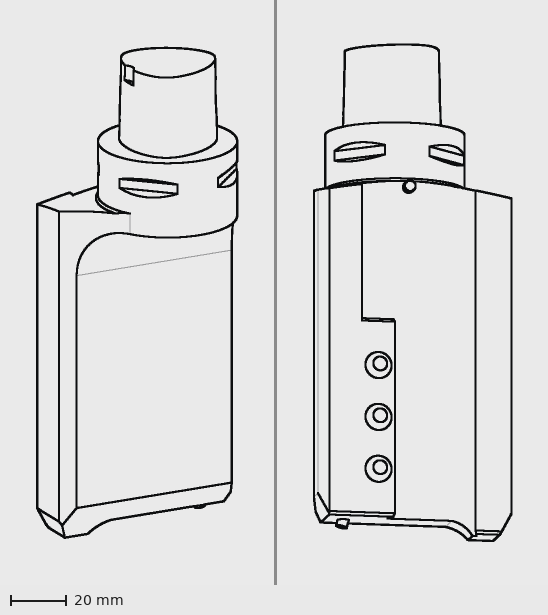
import cadquery as cq
import math

total_height = 180.0

shank_bottom_z = 150.0
shank_base_radius = 17.6
shank_top_radius = 17.0
lobe_height = 1.3
notch_radius = 4.5
notch_center_y = -18.5
notch_height = 5.5

collar_radius = 25.0
collar_bottom_z = 129.6
slot_z = 140.0
slot_floor_distance = 22.5
slot_floor_height = 3.5
slot_mouth_height = 6.7

flare_radius = 25.7
flare_bottom_z = 128.5
shoulder_angle = 15.0
shoulder_reach = 54.0

face_x = -30.8
back_x = -7.2
side_edge_x = -13.7
left_y = 32.2
right_y = -36.7
left_chamfer_x = -21.6
left_face_y = 29.7
ledge_bottom_z = 121.9
back_fillet_radius = 19.8
back_slope_top_z = 14.2
back_slope_end_x = -17.1
foot_step_z = 5.2
foot_curve_start_y = -15.8
foot_curve_end_y = -23.4
foot_curve_mid = (-20.2, 3.5)
foot_bevel = 1.0
right_foot_chamfer_width = 4.1
right_foot_chamfer_height = 7.7
left_foot_chamfer_top_z = 14.4

channel_floor_x = -25.7
channel_left_y = 18.0
channel_left_floor_y = 17.0
channel_right_y = -23.5
channel_right_floor_y = -24.8
clamp_edge_y = 6.0
clamp_floor_edge_y = 7.5
clamp_top_z = 77.2
clamp_bevel = 1.0
screw_y = 11.9
screw_first_z = 22.3
screw_pitch = 18.9
screw_count = 3
screw_radius = 9.5 / 2
screw_dome_radius = 4.1
screw_tip_radius = 2.5
screw_height = 3.2
pin_diameter = 4.0
pin_z = 126.2
pin_tip_x = -29.2
foot_pin_x = -19.8
foot_pin_y = 22.7
foot_pin_projection = 2.5
foot_pin_tilt = 15.0

overlap = 1.8
margin = 72.0


def lobed_point(radius, angle):
    """Point of a three-lobed constant-width curve with one lobe toward +Y."""
    lobe_angle = 3 * (angle - math.pi / 2)
    support = radius + lobe_height * math.cos(lobe_angle)
    slope = -3 * lobe_height * math.sin(lobe_angle)
    return (
        support * math.cos(angle) - slope * math.sin(angle),
        support * math.sin(angle) + slope * math.cos(angle),
    )


def lobed_wire(radius, z):
    point_count = 24
    points = [
        cq.Vector(*lobed_point(radius, 2 * math.pi * i / point_count), z)
        for i in range(point_count)
    ]
    return cq.Wire.assembleEdges([cq.Edge.makeSpline(points, periodic=True)])


def make_shank():
    base = lobed_wire(shank_base_radius, shank_bottom_z)
    top = lobed_wire(shank_top_radius, total_height)
    shank = cq.Workplane(cq.Solid.makeLoft([base, top]))
    notch = (
        cq.Workplane("XY", origin=(0, notch_center_y, total_height - notch_height))
        .circle(notch_radius)
        .extrude(notch_height + overlap)
    )
    return shank.cut(notch)


def make_collar():
    collar = (
        cq.Workplane("XY", origin=(0, 0, collar_bottom_z))
        .circle(collar_radius)
        .extrude(shank_bottom_z - collar_bottom_z)
    )
    slot = (
        cq.Workplane("XZ")
        .moveTo(slot_floor_distance, slot_z - slot_floor_height / 2)
        .lineTo(collar_radius, slot_z - slot_mouth_height / 2)
        .lineTo(collar_radius, slot_z + slot_mouth_height / 2)
        .lineTo(slot_floor_distance, slot_z + slot_floor_height / 2)
        .close()
        .extrude(collar_radius, both=True)
    )
    for angle in (45, 135, 225, 315):
        collar = collar.cut(slot.rotate((0, 0, 0), (0, 0, 1), angle))
    return collar


def tangent_point(x, y, side):
    """Where the line from (x, y) touches the collar circle."""
    half_angle = math.acos(collar_radius / math.hypot(x, y))
    angle = math.atan2(y, x) + side * half_angle
    return collar_radius * math.cos(angle), collar_radius * math.sin(angle)


def make_blade_blank():
    outline = (
        cq.Workplane("XY")
        .moveTo(face_x, right_y)
        .lineTo(side_edge_x, right_y)
        .lineTo(*tangent_point(side_edge_x, right_y, 1))
        .threePointArc((collar_radius, 0), tangent_point(side_edge_x, left_y, -1))
        .lineTo(side_edge_x, left_y)
        .lineTo(left_chamfer_x, left_y)
        .lineTo(face_x, left_face_y)
        .close()
        .extrude(collar_bottom_z)
    )
    shoulder_drop = (shoulder_reach - flare_radius) * math.tan(math.radians(shoulder_angle))
    envelope = (
        cq.Workplane("XZ")
        .lineTo(shoulder_reach, 0)
        .lineTo(shoulder_reach, flare_bottom_z - shoulder_drop)
        .lineTo(flare_radius, flare_bottom_z)
        .lineTo(collar_radius, collar_bottom_z)
        .lineTo(0, collar_bottom_z)
        .close()
        .revolve(360, (0, 0, 0), (0, 1, 0))
    )
    return outline.intersect(envelope)


def make_back_relief():
    """Space behind the blade: sloped foot, flat back and fillet under the ledge."""
    fillet_end_x = back_x + back_fillet_radius
    fillet_start_z = ledge_bottom_z - back_fillet_radius
    diagonal = back_fillet_radius * math.sqrt(0.5)
    return (
        cq.Workplane("XZ")
        .moveTo(back_slope_end_x, 0)
        .lineTo(back_x, back_slope_top_z)
        .lineTo(back_x, fillet_start_z)
        .threePointArc(
            (fillet_end_x - diagonal, fillet_start_z + diagonal),
            (fillet_end_x, ledge_bottom_z),
        )
        .lineTo(margin, ledge_bottom_z)
        .lineTo(margin, 0)
        .close()
        .extrude(margin, both=True)
    )


def make_foot_relief():
    """Space below the blade: stepped end with chamfered sides."""
    return (
        cq.Workplane("YZ")
        .moveTo(right_y, right_foot_chamfer_height)
        .lineTo(right_y + right_foot_chamfer_width, 0)
        .lineTo(foot_curve_end_y, 0)
        .threePointArc(foot_curve_mid, (foot_curve_start_y, foot_step_z))
        .lineTo(left_face_y, foot_step_z)
        .lineTo(left_y, left_foot_chamfer_top_z)
        .lineTo(margin, left_foot_chamfer_top_z)
        .lineTo(margin, -overlap)
        .lineTo(-margin, -overlap)
        .lineTo(-margin, right_foot_chamfer_height)
        .close()
        .extrude(margin, both=True)
    )


def make_foot_bevel(start_y, end_y, bottom_z):
    """Wedge that breaks the lower edge of the blade face."""
    return (
        cq.Workplane("XZ", origin=(0, start_y, 0))
        .moveTo(face_x, bottom_z)
        .lineTo(face_x + foot_bevel, bottom_z)
        .lineTo(face_x, bottom_z + foot_bevel)
        .close()
        .extrude(start_y - end_y)
    )


def make_channel():
    return (
        cq.Workplane("XY")
        .moveTo(face_x, channel_right_y)
        .lineTo(channel_floor_x, channel_right_floor_y)
        .lineTo(channel_floor_x, channel_left_floor_y)
        .lineTo(face_x, channel_left_y)
        .close()
        .extrude(total_height)
    )


def make_clamp():
    """Bar against the left channel wall, undercut on its free edge."""
    bar = (
        cq.Workplane("XY", origin=(0, 0, foot_step_z))
        .moveTo(face_x, clamp_edge_y)
        .lineTo(face_x, channel_left_y + overlap)
        .lineTo(channel_floor_x + overlap, channel_left_y + overlap)
        .lineTo(channel_floor_x + overlap, clamp_floor_edge_y)
        .lineTo(channel_floor_x, clamp_floor_edge_y)
        .close()
        .extrude(clamp_top_z - foot_step_z)
    )
    bevel = (
        cq.Workplane("XZ")
        .moveTo(face_x, clamp_top_z - clamp_bevel)
        .lineTo(face_x + clamp_bevel, clamp_top_z)
        .lineTo(face_x, clamp_top_z)
        .close()
        .extrude(-channel_left_y)
    )
    return bar.cut(bevel)


def make_screw_head(z):
    """Domed head with a flat tip, standing out of the clamp bar toward -X."""
    head = (
        cq.Workplane("XY")
        .moveTo(0, -overlap)
        .lineTo(screw_radius, -overlap)
        .lineTo(screw_radius, 0)
        .threePointArc((screw_dome_radius, screw_height / 2), (screw_tip_radius, screw_height))
        .lineTo(0, screw_height)
        .close()
        .revolve(360, (0, 0, 0), (0, 1, 0))
    )
    return head.rotate((0, 0, 0), (0, 0, 1), 90).translate((face_x, screw_y, z))


def make_locating_pin():
    return (
        cq.Workplane("YZ", origin=(pin_tip_x, 0, pin_z))
        .circle(pin_diameter / 2)
        .extrude(channel_floor_x - pin_tip_x + overlap)
    )


def make_foot_pin():
    pin = (
        cq.Workplane("XY", origin=(0, 0, -foot_pin_projection))
        .circle(pin_diameter / 2)
        .extrude(foot_pin_projection + overlap)
    )
    tilted = pin.rotate((0, 0, 0), (1, 0, 0), foot_pin_tilt)
    return tilted.translate((foot_pin_x, foot_pin_y, foot_step_z))


blade = make_blade_blank().cut(make_channel()).union(make_clamp())
blade = blade.cut(make_back_relief()).cut(make_foot_relief())
blade = blade.cut(make_foot_bevel(right_y, foot_curve_end_y, 0))
blade = blade.cut(make_foot_bevel(clamp_edge_y, left_y, foot_step_z))

result = blade.union(make_collar()).union(make_shank())
result = result.union(make_locating_pin()).union(make_foot_pin())
for i in range(screw_count):
    result = result.union(make_screw_head(screw_first_z + i * screw_pitch))